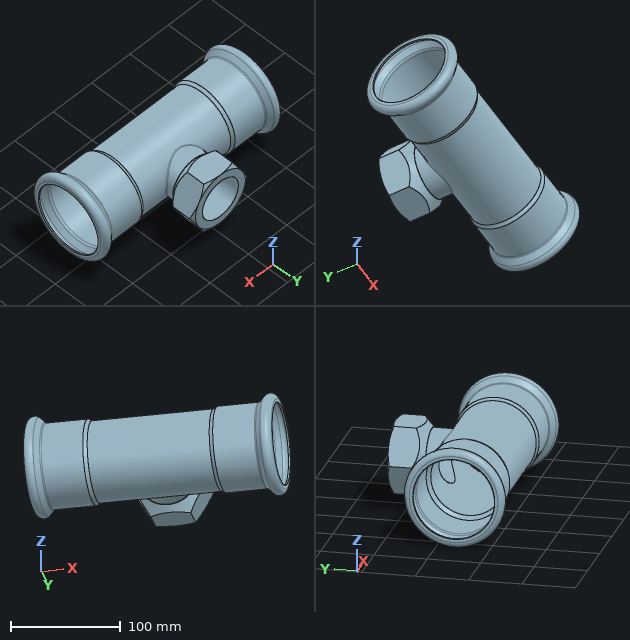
import cadquery as cq
import math

length = 232.0
half_length = length / 2
tube_radius = 76.0 / 2
bore_radius = 34.8
socket_radius = 80.0 / 2
socket_wall = 1.75
socket_bore_radius = socket_radius - socket_wall

bead_outer_radius = 47.3
bead_round = 5.8
bead_slope_fillet = 1.9
socket_end = 55.2
tube_start = 59.0

neck_radius = 53.4 / 2
neck_fillet = 1.0
branch_bore_radius = 23.5
nut_start = 46.6
nut_end = 81.0
nut_flats = 65.0
nut_cone_small_radius = 27.1
nut_face_chamfer_angle = 30.0


def circle_near(x):
    """Select the circular edge about the X axis that lies at the given x."""
    reach = 0.12
    return cq.selectors.BoxSelector((x - reach, -reach, -reach), (x + reach, reach, reach))


def bead_profile(wall):
    """Half profile from the axis over the bead to the socket, set in by the given wall."""
    start_x = -half_length + wall
    center_x = -half_length + bead_round
    center_radius = bead_outer_radius - bead_round
    arc_radius = bead_round - wall
    end_radius = socket_radius - wall
    diagonal = arc_radius * math.sin(math.radians(45))
    slope_run = center_radius + diagonal - end_radius
    slope_end_x = center_x + diagonal + slope_run
    profile = (
        cq.Workplane("XY")
        .moveTo(start_x, 0)
        .lineTo(start_x, center_radius)
        .threePointArc(
            (center_x, center_radius + arc_radius),
            (center_x + diagonal, center_radius + diagonal),
        )
        .lineTo(slope_end_x, end_radius)
    )
    return profile, slope_end_x


def revolve_run(wall, middle_radius):
    """Revolve a bead, socket and tube about X and mirror them to the other end."""
    profile, slope_end_x = bead_profile(wall)
    half = (
        profile.lineTo(-half_length + socket_end, socket_radius - wall)
        .lineTo(-half_length + tube_start, middle_radius)
        .lineTo(0, middle_radius)
        .lineTo(0, 0)
        .close()
        .revolve(360, (0, 0, 0), (1, 0, 0))
    )
    half = half.edges(circle_near(slope_end_x)).fillet(bead_slope_fillet + wall)
    return half.union(half.mirror("YZ"))


def cylinder_y(radius, start, end):
    return cq.Workplane("XZ", origin=(0, start, 0)).circle(radius).extrude(start - end)


def add_neck(run):
    body = run.union(cylinder_y(neck_radius, 0, nut_start))
    saddle = cq.selectors.BoxSelector(
        (-neck_radius - 2.3, 2.3, -neck_radius - 2.3),
        (neck_radius + 2.3, nut_start - 2.3, neck_radius + 2.3),
        boundingbox=True,
    )
    return body.edges(saddle).edges("not %LINE").fillet(neck_fillet)


def make_nut():
    """Hexagon with corners on X, trimmed by a cone at each end."""
    corner_radius = nut_flats / math.sqrt(3)
    face_radius = nut_flats / 2
    cone_height = corner_radius - nut_cone_small_radius
    chamfer_height = (corner_radius - face_radius) * math.tan(math.radians(nut_face_chamfer_angle))
    hexagon = (
        cq.Workplane("XZ", origin=(0, nut_start, 0))
        .polygon(6, 2 * corner_radius)
        .extrude(nut_start - nut_end)
    )
    envelope = (
        cq.Workplane("XY")
        .moveTo(0, nut_start)
        .lineTo(nut_cone_small_radius, nut_start)
        .lineTo(corner_radius, nut_start + cone_height)
        .lineTo(corner_radius, nut_end - chamfer_height)
        .lineTo(face_radius, nut_end)
        .lineTo(0, nut_end)
        .close()
        .revolve(360, (0, 0, 0), (0, 1, 0))
    )
    return hexagon.intersect(envelope)


def make_bore():
    """Void of the run: seal grooves inside the beads, stepped bore and open mouths."""
    mouths = cq.Workplane("YZ").circle(bore_radius).extrude(half_length, both=True)
    for side in (-1, 1):
        lip = (
            cq.Workplane("YZ", origin=(side * half_length, 0, 0))
            .circle(socket_bore_radius)
            .extrude(-side * bead_round)
        )
        mouths = mouths.union(lip)
    return revolve_run(socket_wall, bore_radius).union(mouths)


run = revolve_run(0, tube_radius)
body = add_neck(run).union(make_nut())
branch_bore = cylinder_y(branch_bore_radius, 0, nut_end)
result = body.cut(make_bore()).cut(branch_bore)